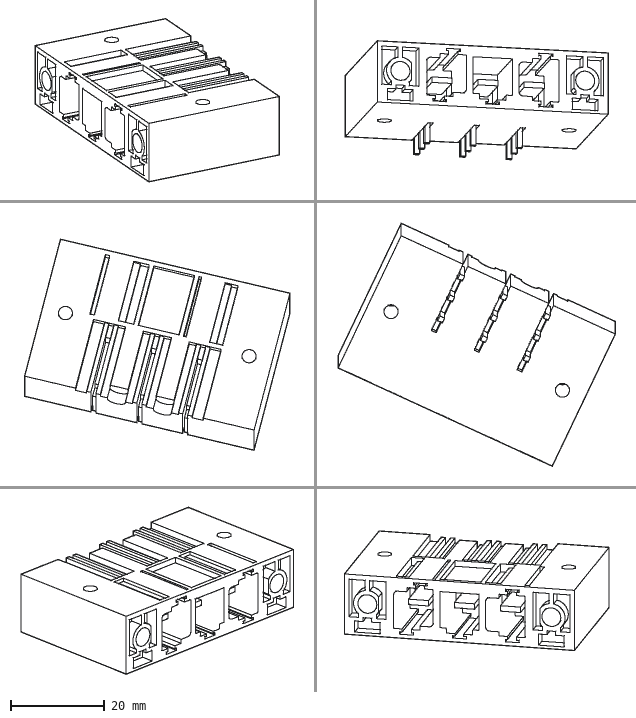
import cadquery as cq

LENGTH = 50.8
DEPTH = 32.0
HEIGHT = 13.55
FRONT = -DEPTH / 2
BACK = DEPTH / 2
MID_Z = HEIGHT / 2

POLE_PITCH = 10.15
POLES = (-1, 0, 1)
FLANGE_X = 2 * POLE_PITCH

WALL_FRONT = FRONT + 14.95
WALL_BACK = FRONT + 15.95

POCKET_HALF = 4.35
POCKET_STEP_X = 1.4
POCKET_REACH = 4.65
SHOULDER_REACH = 3.75
NECK_INNER = 0.45
NECK_OUTER = 2.5
HEAD_WIDTH = 3.05
HEAD_INNER_REACH = 5.4
HEAD_OUTER_REACH = 5.9
BIG_ROUND = 0.9
SMALL_ROUND = 0.2
MIDDLE_POCKET_HALF = 4.3
MIDDLE_POCKET_TOP = 11.1
MIDDLE_TAB_HALF = 2.9
MIDDLE_TAB_REACH = 4.9
MIDDLE_NECK_HALF = 0.95

CAVITY_DEPTH = 2.9
CAVITY_HALF = 4.05
CAVITY_BOTTOM = 4.0
CAVITY_TOP = 12.45
BOSS_Z = 7.15
BOSS_RADIUS = 3.05
BOSS_FLAT = 2.5
BOSS_FOOT_HALF = 2.0
BOSS_WEB_HALF = 0.5
SCREW_DIAMETER = 4.15
SCREW_DEPTH = 12.7
LOWER_HALF = 2.8
LOWER_BOTTOM = 0.65
LOWER_TOP = 3.15
LOWER_TAB_HALF = 0.95
MOUNTING_DIAMETER = 3.0

RECESS_FRONT = FRONT + 1.05
DEEP_RECESS = 1.85
STEP_RECESS = 0.75
WINDOW_RECESS = 1.25
TOP_RECESSES = [
    (-14.15, -12.75, DEEP_RECESS),
    (-12.75, -11.35, STEP_RECESS),
    (-6.1, -5.55, DEEP_RECESS),
    (-4.5, 4.45, WINDOW_RECESS),
    (5.5, 7.4, DEEP_RECESS),
    (7.4, 8.9, STEP_RECESS),
    (14.2, 15.2, DEEP_RECESS),
]

CHANNEL_DEPTH = 1.45
CHANNEL_HALF = 3.1
OUTER_CHANNEL_HALF = 3.95
RIB_OUTER = 1.5
RIB_DROP = 0.4
BACK_BORE_DEPTH = 2.45
BACK_BORE_DIAMETER = POLE_PITCH - 2 * CHANNEL_HALF
BACK_BORE_DROP = 2.0

PLATE_THICKNESS = 1.1
PLATE_BACK = BACK - 1.6
PLATE_BOTTOM = 2.05
BODY_BACK = BACK - 3.5
SHOULDER_BACK = BACK - 13.2
TAIL_TOP = 6.1
SHOULDER_TOP = HEIGHT - CHANNEL_DEPTH
COLLAR_WIDTH = 6.45
COLLAR_HEIGHT = 4.05
BODY_TOP = MID_Z + COLLAR_HEIGHT / 2
BLADE_WIDTH = 4.4
BLADE_HEIGHT = 1.2
BLADE_LENGTH = 10.15
LEG_WIDTH = 1.15
LEG_PITCH = POLE_PITCH / 2
LEG_COUNT = 3
LEG_LENGTH = 3.55


def box(x0, x1, y0, y1, z0, z1):
    """Box between two limits along each axis."""
    return cq.Workplane("XY").box(x1 - x0, y1 - y0, z1 - z0, centered=False).translate((x0, y0, z0))


def front_cut(outline, depth):
    """Prism of an (x, z) outline, from the front face inward."""
    return cq.Workplane("XZ", origin=(0, FRONT, 0)).polyline(outline).close().extrude(-depth)


def round_corner(solid, corner, radius):
    """Round the edge that runs along Y at an (x, z) corner of a front pocket."""
    x, z = corner
    reach = 0.05
    nearby = cq.selectors.BoxSelector(
        (x - reach, FRONT - reach, z - reach), (x + reach, WALL_FRONT + reach, z + reach)
    )
    return solid.edges("|Y").edges(nearby).fillet(radius)


def half_pocket(x, x_sign, z_sign, rounded_step):
    """Upper or lower half of an outer pole pocket: stepped shoulder with a T-shaped keyway."""
    pocket_depth = WALL_FRONT - FRONT

    def placed(outline):
        return [(x + x_sign * px, MID_Z + z_sign * pz) for px, pz in outline]

    near_corner, step_foot, step_top, far_corner = corners = placed([
        (-POCKET_HALF, SHOULDER_REACH),
        (-POCKET_STEP_X, SHOULDER_REACH),
        (-POCKET_STEP_X, POCKET_REACH),
        (POCKET_HALF, POCKET_REACH),
    ])
    half = front_cut(placed([(-POCKET_HALF, 0)]) + corners + placed([(POCKET_HALF, 0)]), pocket_depth)
    half = round_corner(half, near_corner, BIG_ROUND)
    half = round_corner(half, far_corner, SMALL_ROUND)
    if rounded_step:
        half = round_corner(half, step_foot, SMALL_ROUND)
        half = round_corner(half, step_top, SMALL_ROUND)
    keyway = [
        (NECK_INNER, SHOULDER_REACH),
        (NECK_INNER, HEAD_INNER_REACH),
        (0, HEAD_INNER_REACH),
        (0, HEAD_OUTER_REACH),
        (HEAD_WIDTH, HEAD_OUTER_REACH),
        (HEAD_WIDTH, HEAD_INNER_REACH),
        (NECK_OUTER, HEAD_INNER_REACH),
        (NECK_OUTER, SHOULDER_REACH),
    ]
    return half.union(front_cut(placed(keyway), pocket_depth))


def middle_pocket():
    """Plain pocket of the middle pole, with its stepped keyway at the bottom only."""
    step_corners = [
        (MIDDLE_POCKET_HALF, MID_Z - SHOULDER_REACH),
        (MIDDLE_TAB_HALF, MID_Z - SHOULDER_REACH),
        (MIDDLE_TAB_HALF, MID_Z - MIDDLE_TAB_REACH),
    ]
    half_outline = [
        (MIDDLE_POCKET_HALF, MIDDLE_POCKET_TOP),
        *step_corners,
        (MIDDLE_NECK_HALF, MID_Z - MIDDLE_TAB_REACH),
        (MIDDLE_NECK_HALF, MID_Z - HEAD_INNER_REACH),
        (HEAD_WIDTH / 2, MID_Z - HEAD_INNER_REACH),
        (HEAD_WIDTH / 2, MID_Z - HEAD_OUTER_REACH),
    ]
    mirrored = [(-x, z) for x, z in reversed(half_outline)]
    pocket = front_cut(half_outline + mirrored, WALL_FRONT - FRONT)
    for x, z in step_corners:
        pocket = round_corner(pocket, (x, z), SMALL_ROUND)
        pocket = round_corner(pocket, (-x, z), SMALL_ROUND)
    return pocket


def flange_cuts(side):
    """Cavities around and below the screw boss, its screw hole and the mounting hole."""
    x = side * FLANGE_X
    y_end = FRONT + CAVITY_DEPTH
    cavity = box(x - CAVITY_HALF, x + CAVITY_HALF, FRONT, y_end, CAVITY_BOTTOM, CAVITY_TOP)
    boss_plane = cq.Workplane("XZ", origin=(x, FRONT, BOSS_Z))
    boss = boss_plane.circle(BOSS_RADIUS).extrude(-CAVITY_DEPTH)
    flat_x = x - side * BOSS_FLAT
    beyond_flat = flat_x - side * BOSS_RADIUS
    boss = boss.cut(
        box(min(flat_x, beyond_flat), max(flat_x, beyond_flat), FRONT, y_end, 0, HEIGHT)
    )
    foot = box(x - BOSS_FOOT_HALF, x + BOSS_FOOT_HALF, FRONT, y_end, CAVITY_BOTTOM, BOSS_Z)
    web = box(x - BOSS_WEB_HALF, x + BOSS_WEB_HALF, FRONT, y_end, BOSS_Z, CAVITY_TOP)
    cuts = cavity.cut(boss).cut(foot).cut(web)
    cuts = cuts.union(boss_plane.circle(SCREW_DIAMETER / 2).extrude(-SCREW_DEPTH))
    cuts = cuts.union(box(x - LOWER_HALF, x + LOWER_HALF, FRONT, y_end, LOWER_BOTTOM, LOWER_TOP))
    cuts = cuts.union(
        box(x - LOWER_TAB_HALF, x + LOWER_TAB_HALF, FRONT, y_end, LOWER_TOP, CAVITY_BOTTOM)
    )
    mounting_hole = cq.Workplane("XY").center(x, 0).circle(MOUNTING_DIAMETER / 2).extrude(HEIGHT)
    return cuts.union(mounting_hole)


def rear_channel(pole):
    """Channel in the top face behind the wall, with two ribs left standing in it."""
    x = pole * POLE_PITCH
    left = OUTER_CHANNEL_HALF if pole < 0 else CHANNEL_HALF
    right = OUTER_CHANNEL_HALF if pole > 0 else CHANNEL_HALF
    floor = HEIGHT - CHANNEL_DEPTH
    channel = box(x - left, x + right, WALL_BACK, BACK, floor, HEIGHT)
    ribs = box(x - RIB_OUTER, x + RIB_OUTER, WALL_BACK, BACK, floor, HEIGHT - RIB_DROP)
    return channel.cut(ribs)


def contact_slot(pole):
    """Slot that holds the contact plate, and the window for its collar."""
    x = pole * POLE_PITCH
    slot = box(x - PLATE_THICKNESS / 2, x + PLATE_THICKNESS / 2, WALL_BACK, BACK, 0, HEIGHT)
    return slot.union(collar(x))


def back_bore(side):
    """Round groove in the back face, between two channels and open at the top."""
    x = side * POLE_PITCH / 2
    axis_z = HEIGHT - BACK_BORE_DROP
    radius = BACK_BORE_DIAMETER / 2
    bore = cq.Workplane("XZ", origin=(x, BACK, axis_z)).circle(radius).extrude(BACK_BORE_DEPTH)
    mouth = box(x - radius, x + radius, BACK - BACK_BORE_DEPTH, BACK, axis_z, HEIGHT)
    return bore.union(mouth)


def collar(x):
    """Block of a contact that fills the window in the wall."""
    return box(
        x - COLLAR_WIDTH / 2, x + COLLAR_WIDTH / 2, WALL_FRONT, WALL_BACK,
        MID_Z - COLLAR_HEIGHT / 2, BODY_TOP,
    )


def make_housing():
    body = cq.Workplane("XY").box(LENGTH, DEPTH, HEIGHT, centered=(True, True, False))
    body = body.cut(half_pocket(-POLE_PITCH, 1, 1, rounded_step=True))
    body = body.cut(half_pocket(-POLE_PITCH, -1, -1, rounded_step=False))
    body = body.cut(half_pocket(POLE_PITCH, 1, 1, rounded_step=True))
    body = body.cut(half_pocket(POLE_PITCH, 1, -1, rounded_step=True))
    body = body.cut(middle_pocket())
    for left, right, depth in TOP_RECESSES:
        body = body.cut(box(left, right, RECESS_FRONT, WALL_FRONT, HEIGHT - depth, HEIGHT))
    for side in (-1, 1):
        body = body.cut(flange_cuts(side))
        body = body.cut(back_bore(side))
    for pole in POLES:
        body = body.cut(rear_channel(pole))
        body = body.cut(contact_slot(pole))
    return body


def make_contact(pole):
    """Blade, collar, stepped upright plate and three solder legs."""
    x = pole * POLE_PITCH
    plate_outline = [
        (WALL_BACK, PLATE_BOTTOM),
        (PLATE_BACK, PLATE_BOTTOM),
        (PLATE_BACK, TAIL_TOP),
        (BODY_BACK, TAIL_TOP),
        (BODY_BACK, BODY_TOP),
        (SHOULDER_BACK, BODY_TOP),
        (SHOULDER_BACK, SHOULDER_TOP),
        (WALL_BACK, SHOULDER_TOP),
    ]
    plate_plane = cq.Workplane("YZ", origin=(x - PLATE_THICKNESS / 2, 0, 0))
    contact = plate_plane.polyline(plate_outline).close().extrude(PLATE_THICKNESS)
    contact = contact.union(collar(x))
    contact = contact.union(box(
        x - BLADE_WIDTH / 2, x + BLADE_WIDTH / 2, WALL_FRONT - BLADE_LENGTH, WALL_FRONT,
        MID_Z - BLADE_HEIGHT / 2, MID_Z + BLADE_HEIGHT / 2,
    ))
    for index in range(LEG_COUNT):
        leg_back = PLATE_BACK - index * LEG_PITCH
        contact = contact.union(box(
            x - PLATE_THICKNESS / 2, x + PLATE_THICKNESS / 2, leg_back - LEG_WIDTH, leg_back,
            -LEG_LENGTH, PLATE_BOTTOM,
        ))
    return contact


housing = make_housing()
contacts = [make_contact(pole).val() for pole in POLES]
result = cq.Compound.makeCompound([housing.val(), *contacts])